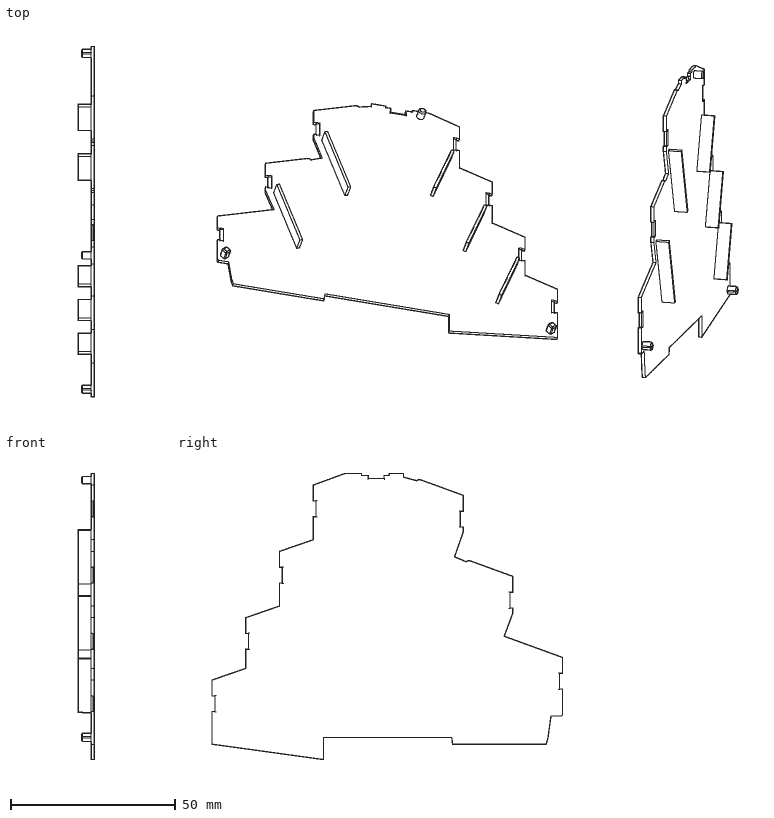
import cadquery as cq
import math

LENGTH = 106.85
HEIGHT = 87.23
PLATE_THICKNESS = 1.0
Y_HIGH = LENGTH / 2

HIGH_PITCH_Y = 15.12
HIGH_PITCH_Z = 24.7
HIGH_BASE_Z = 31.19
HIGH_TIERS = [(i * HIGH_PITCH_Y, HIGH_BASE_Z + i * HIGH_PITCH_Z) for i in range(3)]
TERRACE_SLOPE = math.tan(math.radians(20))
TERRACE_VALLEY_Y = 17.75
UNDERCUT_TOP_DROP = 11.2
RIDGE_Y = 13.75
RIDGE_FLAT = 0.6
RIDGE_FALL_Y = 0.5
RIDGE_DROP = 0.5

LOW_PITCH_Y = 10.27
LOW_PITCH_Z = 20.2
LOW_BASE_Z = 24.3
LOW_BASE_PITCH_Z = 19.0
LOW_TIERS = [(0, LOW_BASE_Z)]
LOW_TIERS += [(i * LOW_PITCH_Y, LOW_BASE_Z + LOW_BASE_PITCH_Z + (i - 1) * LOW_PITCH_Z) for i in range(1, 4)]
LOW_TIER_RISE = 3.55

CREST_START = 48.4
CREST_END = 66.4
CREST_DROP = 1.1
RECESS_START = 52.85
RECESS_END = 61.2
RECESS_DEPTH = 0.6

RAIL_EDGE_Z = 6.75
RAIL_START = 33.8
RAIL_END = 72.8
RAIL_WALL_LEAN = 0.25
FOOT_Z = 4.65
FOOT_TOE = 5.0
FOOT_TOE_CHAMFER = (0.55, 1.8)
HEEL_INSET = 3.5
HEEL_Z = 13.25
HEEL_CHAMFER = 0.4
LOW_END_Z = 4.7

MOUTH_LENGTH = 4.7
MOUTH_DEPTH = 0.87
POCKET_LENGTH = 5.0
POCKET_DEPTH = 1.92
POCKET_FLAT = 0.5
RAMP_END = 0.8
NOTCH_DROP = 7.25
CREST_NOTCH_INSET = 56.8

RIB_HEIGHT = 4.0
RIB_THICKNESS = 0.9
RIB_TILT = 19.1
HIGH_RIB_LENGTH = 22.2
HIGH_RIB_OFFSET = (21.65, 2.8)
LOW_RIB_LENGTH = 17.25
LOW_RIB_OFFSET = (16.22, -1.6)

PIN_LENGTH = 3.0
PIN_CHAMFER = 0.4
ROUND_PIN = (63.7, 85.2)
ROUND_PIN_DIAMETER = 2.3
SQUARE_PINS = [(2.15, 15.5), (104.5, 6.8)]
SQUARE_PIN_SIDE = 2.1
SQUARE_PIN_CORNER_CHAMFER = 0.3
SQUARE_PIN_TURN = 45


def low_end_inset(inset):
    """Turn an inset from the -Y end into an inset from the +Y end."""
    return LENGTH - inset


def lower_outline():
    """Points from the -Y end along the bottom to the +Y end."""
    toe_y, toe_z = FOOT_TOE_CHAMFER
    return [
        (LENGTH, LOW_END_Z),
        (RAIL_END, 0),
        (RAIL_END, RAIL_EDGE_Z),
        (RAIL_START, RAIL_EDGE_Z),
        (RAIL_START - RAIL_WALL_LEAN, FOOT_Z),
        (FOOT_TOE, FOOT_Z),
        (FOOT_TOE - toe_y, FOOT_Z + toe_z),
        (HEEL_INSET, HEEL_Z),
        (HEEL_CHAMFER, HEEL_Z),
        (0, HEEL_Z + HEEL_CHAMFER),
    ]


def ridge(inset, corner_z):
    """Small ridge on a sloped top, after which the slope carries on at a lower level."""
    start = inset + RIDGE_Y
    ridge_z = corner_z + (RIDGE_Y - RIDGE_FLAT) * TERRACE_SLOPE
    fall_z = ridge_z + RIDGE_FALL_Y * TERRACE_SLOPE - RIDGE_DROP
    return [(start - RIDGE_FLAT, ridge_z), (start, ridge_z), (start + RIDGE_FALL_Y, fall_z)]


def high_terraces():
    """Points up the stepped +Y side, ending at the foot of the crest wall."""
    points = []
    for level, (inset, corner_z) in enumerate(HIGH_TIERS):
        if level > 0:
            points.append((inset, corner_z - UNDERCUT_TOP_DROP))
        points.append((inset, corner_z))
        if level > 0:
            points += ridge(inset, corner_z)
        if level < len(HIGH_TIERS) - 1:
            valley_drop = RIDGE_DROP if level > 0 else 0
            valley_z = corner_z + TERRACE_VALLEY_Y * TERRACE_SLOPE - valley_drop
            points.append((inset + TERRACE_VALLEY_Y, valley_z))
    return points


def crest():
    """Points along the top edge, including the shallow recess."""
    recess_z = HEIGHT - RECESS_DEPTH
    return [
        (CREST_START, HEIGHT - CREST_DROP),
        (CREST_START, HEIGHT),
        (RECESS_START, HEIGHT),
        (RECESS_START, recess_z),
        (RECESS_END, recess_z),
        (RECESS_END, HEIGHT),
        (CREST_END, HEIGHT),
    ]


def low_terraces():
    """Points down the stepped -Y side, ending at the outer corner of the lowest tier."""
    points = []
    for level in reversed(range(len(LOW_TIERS))):
        inset, corner_z = LOW_TIERS[level]
        points.append((low_end_inset(inset), corner_z))
        if level > 0:
            corner_below_z = LOW_TIERS[level - 1][1]
            points.append((low_end_inset(inset), corner_below_z + LOW_TIER_RISE))
    return points


def make_plate():
    """Stepped plate without notches."""
    outline = lower_outline() + high_terraces() + crest() + low_terraces()
    points = [(Y_HIGH - inset, z) for inset, z in outline]
    return cq.Workplane("YZ").polyline(points).close().extrude(PLATE_THICKNESS)


def make_notch():
    """Notch cutter for an edge along Z at Y = 0, cutting toward +Y."""
    mouth = cq.Workplane("XY").box(
        PLATE_THICKNESS, 2 * MOUTH_DEPTH, MOUTH_LENGTH, centered=(False, True, True)
    )
    pocket_profile = [
        (0, MOUTH_DEPTH),
        (0, POCKET_DEPTH),
        (POCKET_FLAT, POCKET_DEPTH),
        (RAMP_END, MOUTH_DEPTH),
    ]
    pocket = cq.Workplane("XY").polyline(pocket_profile).close().extrude(POCKET_LENGTH / 2, both=True)
    return mouth.union(pocket)


def place_notch(turn, inset, z):
    """Turn the notch cutter about X and move it to a point on the plate edge."""
    return make_notch().rotate((0, 0, 0), (1, 0, 0), turn).translate((0, Y_HIGH - inset, z))


def cut_notches(plate):
    """Cut one notch into every tier wall and one into the crest recess."""
    for inset, corner_z in HIGH_TIERS:
        plate = plate.cut(place_notch(180, inset, corner_z - NOTCH_DROP))
    for inset, corner_z in LOW_TIERS:
        plate = plate.cut(place_notch(0, low_end_inset(inset), corner_z - NOTCH_DROP))
    return plate.cut(place_notch(-90, CREST_NOTCH_INSET, HEIGHT - RECESS_DEPTH))


def make_rib(inset, z, length, tilt):
    """Rib centred on a point of the front face, tilted about X and rooted through the plate."""
    rib = cq.Workplane("XY").box(
        RIB_HEIGHT + PLATE_THICKNESS, RIB_THICKNESS, length, centered=(False, True, True)
    )
    return rib.rotate((0, 0, 0), (1, 0, 0), tilt).translate((-RIB_HEIGHT, Y_HIGH - inset, z))


def add_ribs(plate):
    """Add the long ribs on the +Y side and the short ribs on the -Y side."""
    offset_y, offset_z = HIGH_RIB_OFFSET
    for inset, corner_z in HIGH_TIERS[:-1]:
        plate = plate.union(make_rib(inset + offset_y, corner_z + offset_z, HIGH_RIB_LENGTH, -RIB_TILT))
    offset_y, offset_z = LOW_RIB_OFFSET
    for inset, corner_z in LOW_TIERS[:-1]:
        rib_inset = low_end_inset(inset + offset_y)
        plate = plate.union(make_rib(rib_inset, corner_z + offset_z, LOW_RIB_LENGTH, RIB_TILT))
    return plate


def finish_pin(pin, inset, z):
    """Chamfer the free end of a pin and move it to its place."""
    return pin.faces("<X").chamfer(PIN_CHAMFER).translate((0, Y_HIGH - inset, z))


def add_pins(plate):
    """Add the round pin at the crest and the two square pins near the lower ends."""
    round_pin = cq.Workplane("YZ").circle(ROUND_PIN_DIAMETER / 2).extrude(-PIN_LENGTH)
    plate = plate.union(finish_pin(round_pin, *ROUND_PIN))
    square_pin = cq.Workplane("YZ").rect(SQUARE_PIN_SIDE, SQUARE_PIN_SIDE).extrude(-PIN_LENGTH)
    square_pin = square_pin.edges("|X").chamfer(SQUARE_PIN_CORNER_CHAMFER)
    square_pin = square_pin.rotate((0, 0, 0), (1, 0, 0), SQUARE_PIN_TURN)
    for inset, z in SQUARE_PINS:
        plate = plate.union(finish_pin(square_pin, inset, z))
    return plate


result = add_pins(add_ribs(cut_notches(make_plate())))